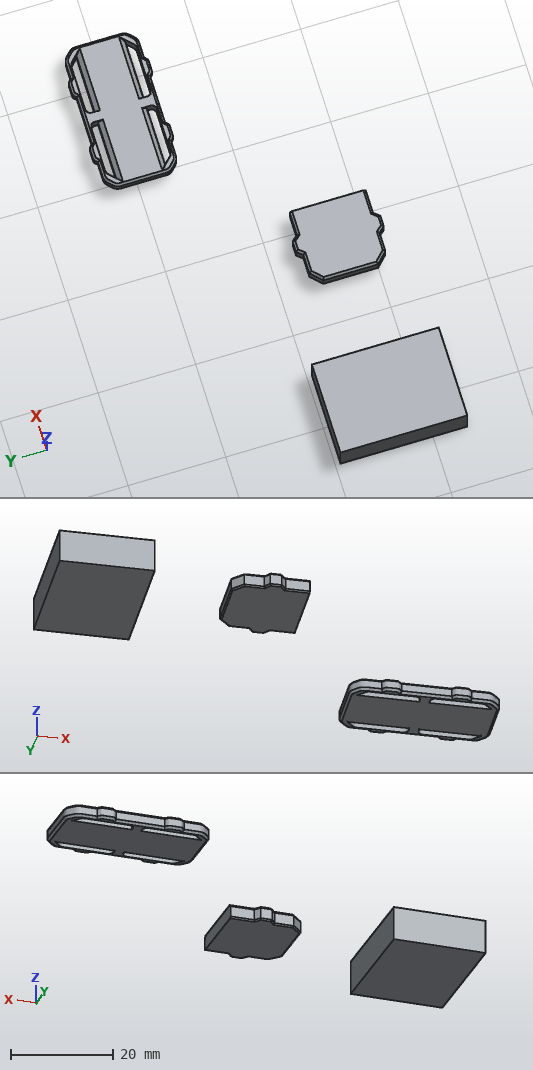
import cadquery as cq

BLOCK_LENGTH = 19.0
BLOCK_WIDTH = 26.0
BLOCK_HEIGHT = 7.0

FRAME_LENGTH = 30.0
FRAME_WIDTH = 15.0
FRAME_HEIGHT = 2.6
FRAME_CORNER_CUT = 2.0
FRAME_CORNER_RADIUS = 2.0
FRAME_CENTER = (71.5, 33.0, 0.1)
FRAME_EDGE_CHAMFER = 0.5

TAB_OFFSET = 7.0
TAB_BASE = 4.0
TAB_REACH = 0.68
TAB_TIP = TAB_BASE - 2 * TAB_REACH
TAB_FILLET = 0.75

RIM_THICKNESS = 0.8
WINDOW_CORNER_CUT = 2.5
WINDOW_CORNER_RADIUS = 1.2
STRIP_WIDTH = 10.0
STRIP_CHAMFER = 1.0
BAR_WIDTH = 2.0
BAR_FILLET = 1.0

CLEARANCE = 0.3
PLUG_LENGTH = FRAME_LENGTH / 2 + CLEARANCE
PLUG_WIDTH = FRAME_WIDTH + 2 * CLEARANCE
PLUG_HEIGHT = 3.0
PLUG_CORNER_CUT = 2.2
PLUG_TOP_CHAMFER = 0.5
PLUG_BOTTOM_CHAMFER = 0.3
PLUG_TAB_REACH = 1.2
PLUG_TAB_BASE = 4.3
PLUG_TAB_TIP = 2.3
PLUG_LEFT = 26.2
PLUG_CENTER_Y = -0.1


def centered_prism(profile, height):
    """Extrude a flat profile evenly above and below the XY plane."""
    return profile.extrude(height / 2, both=True)


def tab_prism(x, body_half_width, side, base, tip, reach, height):
    """Trapezoid bump standing on one long side (side is +1 or -1); its root lies inside the body."""
    root = body_half_width - reach
    profile = cq.Workplane("XY").polyline([
        (x - base / 2, side * root),
        (x + base / 2, side * root),
        (x + base / 2, side * body_half_width),
        (x + tip / 2, side * (body_half_width + reach)),
        (x - tip / 2, side * (body_half_width + reach)),
        (x - base / 2, side * body_half_width),
    ]).close()
    return centered_prism(profile, height)


def make_block():
    return cq.Workplane("XY").box(BLOCK_LENGTH, BLOCK_WIDTH, BLOCK_HEIGHT)


def make_windows():
    """Through openings: the inside of the rim less the strip and the cross bar."""
    opening = (
        cq.Workplane("XY")
        .box(FRAME_LENGTH - 2 * RIM_THICKNESS, FRAME_WIDTH - 2 * RIM_THICKNESS, FRAME_HEIGHT)
        .edges("|Z").chamfer(WINDOW_CORNER_CUT)
        .edges("|Z").fillet(WINDOW_CORNER_RADIUS)
    )
    strip = (
        cq.Workplane("XY").box(FRAME_LENGTH, STRIP_WIDTH, FRAME_HEIGHT)
        .edges("|X and >Z").chamfer(STRIP_CHAMFER)
    )
    bar = cq.Workplane("XY").box(BAR_WIDTH, FRAME_WIDTH, FRAME_HEIGHT)
    bar_corner = cq.selectors.BoxSelector(
        (-BAR_WIDTH, -FRAME_WIDTH, -FRAME_HEIGHT), (BAR_WIDTH, FRAME_WIDTH, FRAME_HEIGHT)
    )
    return opening.cut(bar).edges("|Z").edges(bar_corner).fillet(BAR_FILLET).cut(strip)


def make_frame():
    body = (
        cq.Workplane("XY").box(FRAME_LENGTH, FRAME_WIDTH, FRAME_HEIGHT)
        .edges("|Z").chamfer(FRAME_CORNER_CUT)
        .edges("|Z").fillet(FRAME_CORNER_RADIUS)
    )
    for x in (-TAB_OFFSET, TAB_OFFSET):
        for side in (-1, 1):
            tab = tab_prism(x, FRAME_WIDTH / 2, side, TAB_BASE, TAB_TIP, TAB_REACH, FRAME_HEIGHT)
            tip_face = ">Y" if side > 0 else "<Y"
            body = body.union(tab.faces(tip_face).edges("|Z").fillet(TAB_FILLET))
    body = body.faces("|Z").edges().chamfer(FRAME_EDGE_CHAMFER)
    return body.cut(make_windows()).translate(FRAME_CENTER)


def make_plug():
    body = (
        cq.Workplane("XY").box(PLUG_LENGTH, PLUG_WIDTH, PLUG_HEIGHT)
        .edges("|Z and <X").chamfer(PLUG_CORNER_CUT)
    )
    tab_x = FRAME_LENGTH / 2 - TAB_OFFSET + CLEARANCE - PLUG_LENGTH / 2
    for side in (-1, 1):
        body = body.union(
            tab_prism(
                tab_x, PLUG_WIDTH / 2, side, PLUG_TAB_BASE, PLUG_TAB_TIP, PLUG_TAB_REACH, PLUG_HEIGHT
            )
        )
    body = body.faces(">Z").edges("not >X").chamfer(PLUG_TOP_CHAMFER)
    body = body.faces("<Z").edges("not >X").chamfer(PLUG_BOTTOM_CHAMFER)
    return body.translate((PLUG_LEFT + PLUG_LENGTH / 2, PLUG_CENTER_Y))


block = make_block()
frame = make_frame()
plug = make_plug()

result = cq.Compound.makeCompound([block.val(), frame.val(), plug.val()])